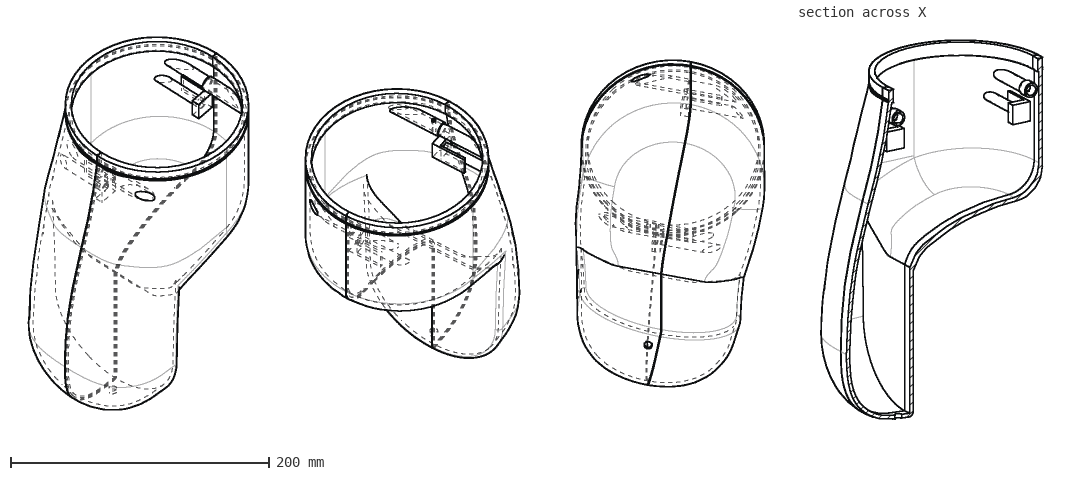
import cadquery as cq

collar_radius = 71.02
collar_height = 10.0
wall = 3.5
rim_bore_radius = 66.3
rim_bore_depth = 11.0
shadow_gap_top_z = -8.0
shadow_gap_height = 1.7
shadow_gap_depth = 0.2
seam_gap_width = 0.5
seam_gap_depth = wall / 2

waist_z = -90.0
toe_axis_z = -210.0
front_reach = 109.34
leg_back_y = -47.6
leg_top_z = -153.0
leg_back_fillet = 4.0
heel_fillet = 24.0
heel_z = -113.5
heel_start_y = collar_radius + 9.0
underside_points = [(30.0, -115.0), (0.0, -121.0), (-27.5, -132.0), (-42.0, -142.5)]
underside_end_slope = (-0.45, -1.0)

rod_z = -25.0
back_rod_y = 60.0
front_rod_y = -61.5
left_rod_diameter = 10.0
right_rod_diameter = 12.0
rod_bore_diameter = 8.0
lock_hole_diameter = 3.2
lock_hole_x = 7.5
drain_hole_diameter = 6.0

pin_diameter = 8.0
pin_z = -44.0
back_pin_y = 54.0
front_pin_y = -61.5
bracket_size = 16.0
plate_thickness = 6.4
rib_length = 23.2
rib_thickness = 2.0
pin_socket_depth = 3.0

far = 300.0

collar_station = (-collar_height, (61.5, -35.5), (50.2, -50.2), (27.2, -65.6), collar_radius)
waist_station = (waist_z, (68.3, -44.0), (61.5, -62.0), (38.5, -81.5), 89.5)
toe_station = (toe_axis_z, (63.2, -54.0), (61.1, -73.5), (44.5, -99.5), front_reach)
upper_stations = [
    collar_station,
    (-50.0, (65.4, -37.5), (56.0, -57.0), (33.0, -72.5), 78.3),
    waist_station,
]
lower_stations = [
    waist_station,
    (-120.0, (66.7, -48.0), (61.8, -67.0), (38.5, -90.5), 98.0),
    (-150.0, (64.8, -52.0), (61.7, -71.0), (39.5, -96.5), 104.7),
    (-180.0, (63.7, -54.0), (61.3, -73.0), (42.0, -99.5), 108.3),
    toe_station,
]
shoulder_inward = (-0.85, 0.5)
brow_inward = (-0.4, 0.9)


def moved(point, direction, distance):
    return (point[0] + direction[0] * distance, point[1] + direction[1] * distance)


def right_half_section(station, inset):
    """Closed wire of the +X half in front of y = 0 at one station."""
    z, flank, shoulder, brow, reach = station
    side_x = collar_radius - inset
    front_y = inset - reach
    skin_points = [
        (side_x, 0),
        moved(flank, (-1, 0), inset),
        moved(shoulder, shoulder_inward, inset),
        moved(brow, brow_inward, inset),
        (0, front_y),
    ]
    skin = cq.Edge.makeSpline(
        [cq.Vector(x, y, z) for x, y in skin_points],
        tangents=[cq.Vector(0, -1, 0), cq.Vector(-1, 0, 0)],
    )
    axis = cq.Vector(0, 0, z)
    to_side = cq.Edge.makeLine(axis, cq.Vector(side_x, 0, z))
    to_axis = cq.Edge.makeLine(cq.Vector(0, front_y, z), axis)
    return cq.Wire.assembleEdges([to_side, skin, to_axis])


def loft_stations(stations, inset):
    return cq.Workplane(cq.Solid.makeLoft([right_half_section(s, inset) for s in stations], False))


def underside_cut(inset):
    """Everything below the heel curve and behind the flat back of the leg."""
    back_y = leg_back_y - inset
    points = [(y - inset, z + inset) for y, z in underside_points]
    points.append((back_y, leg_top_z + inset))
    return (
        cq.Workplane("YZ")
        .moveTo(heel_start_y, heel_z + inset)
        .spline(points, tangents=[(-1, 0), underside_end_slope], includeCurrent=True)
        .lineTo(back_y, -far)
        .lineTo(heel_start_y, -far)
        .close()
        .extrude(far, both=True)
    )


def round_heel(body, inset):
    """Large fillet along the edge of the heel curve."""
    back_y = leg_back_y - inset
    reach = 2 * collar_radius
    heel_box = cq.selectors.BoxSelector(
        (1, back_y + 1, heel_z + 2 * inset), (reach, reach, leg_top_z)
    )
    return body.edges(heel_box).edges("not(#Z or |Z or |X)").fillet(heel_fillet)


def round_leg_back(body):
    """Small fillet down the outer edge of the flat back of the leg and toe."""
    reach = 2 * collar_radius
    leg_box = cq.selectors.BoxSelector(
        (1, leg_back_y - 0.1, leg_top_z - 5), (reach, leg_back_y + 0.1, -far)
    )
    leg_box = cq.selectors.BoxSelector(
        (1, leg_back_y - 0.1, leg_top_z - leg_back_fillet), (reach, leg_back_y + 0.1, -far)
    )
    return body.edges(leg_box).fillet(leg_back_fillet)


def right_half_body(inset):
    """Solid +X half of the foot, with its faces moved inwards by inset."""
    radius = collar_radius - inset
    right_back_quarter = cq.Workplane("XY").box(far, far, 2 * far).translate((far / 2, far / 2, 0))
    right_half = cq.Workplane("XY").box(far, 2 * far, 2 * far).translate((far / 2, 0, 0))
    barrel = cq.Workplane("XY").circle(radius).extrude(leg_top_z).intersect(right_back_quarter)
    collar = cq.Workplane("XY").circle(radius).extrude(-collar_height).intersect(right_half)
    toe_face = cq.Face.makeFromWires(right_half_section(toe_station, inset))
    toe = cq.Workplane(
        cq.Solid.revolve(toe_face, 90, cq.Vector(0, 0, toe_axis_z), cq.Vector(0, 1, toe_axis_z))
    )
    body = barrel.union(loft_stations(upper_stations, inset))
    body = body.union(loft_stations(lower_stations, inset)).union(collar).union(toe)
    return round_heel(body.cut(underside_cut(inset)), inset)


def mirrored(body):
    return body.mirror("YZ")


def rod_along_x(diameter, y, z, start_x, end_x):
    return (
        cq.Workplane("YZ").workplane(offset=start_x)
        .center(y, z).circle(diameter / 2).extrude(end_x - start_x)
    )


def upright_hole(diameter, y, top_z, bottom_z):
    return (
        cq.Workplane("XY").workplane(offset=bottom_z)
        .center(lock_hole_x, y).circle(diameter / 2).extrude(top_z - bottom_z)
    )


def block(x_range, y_range, z_range):
    corner = (x_range[0], y_range[0], z_range[0])
    size = [high - low for low, high in (x_range, y_range, z_range)]
    return cq.Workplane("XY").box(*size, centered=False).translate(corner)


outer_half = round_leg_back(right_half_body(0))
mid_wall_half = right_half_body(seam_gap_depth)
inner_half = right_half_body(wall)

rim_zone = cq.Workplane("XY").circle(collar_radius).extrude(-rim_bore_depth)
rim_bore = cq.Workplane("XY").circle(rim_bore_radius).extrude(-rim_bore_depth)
cavity_half = inner_half.cut(rim_zone)
shadow_gap = (
    cq.Workplane("XY").workplane(offset=shadow_gap_top_z)
    .circle(2 * collar_radius).circle(collar_radius - shadow_gap_depth)
    .extrude(-shadow_gap_height)
)
hollow_half = outer_half.cut(cavity_half).cut(rim_bore).cut(shadow_gap)


def bracket(pin_y):
    """Square plate across the seam with a rib on its +Y edge and a socket for the pin."""
    y_range = (pin_y - bracket_size / 2, pin_y + bracket_size / 2)
    z_range = (pin_z - bracket_size / 2, pin_z + bracket_size / 2)
    plate_x = plate_thickness / 2
    plate = block((-plate_x, plate_x), y_range, z_range)
    rib = block((-plate_x - rib_length, -plate_x), (y_range[1] - rib_thickness, y_range[1]), z_range)
    return plate.union(rib).cut(pin_rod(pin_y))


def pin_rod(pin_y):
    """Pin at full length, running out through the left wall."""
    return rod_along_x(pin_diameter, pin_y, pin_z, -far, pin_socket_depth - plate_thickness / 2)


def pin(pin_y):
    """Pin that ends against the inside of the left wall."""
    return pin_rod(pin_y).intersect(mirrored(inner_half))


pin_places = [back_pin_y, front_pin_y]
rod_places = [back_rod_y, front_rod_y]
brackets = [bracket(y) for y in pin_places]
pins = [pin(y) for y in pin_places]

right_shell = hollow_half
for y in rod_places:
    rod = rod_along_x(right_rod_diameter, y, rod_z, 0, far).intersect(mid_wall_half)
    right_shell = right_shell.union(rod)
for y in rod_places:
    right_shell = right_shell.cut(rod_along_x(rod_bore_diameter, y, rod_z, 0, far))
right_shell = right_shell.cut(upright_hole(lock_hole_diameter, front_rod_y, rod_z + right_rod_diameter,
                                           rod_z - right_rod_diameter))
right_shell = right_shell.cut(upright_hole(drain_hole_diameter, front_rod_y, toe_axis_z, -far))

outer_skin = mirrored(outer_half.cut(mid_wall_half))
seam_gap = outer_skin.intersect(block((-seam_gap_width, 0), (-far, far), (-far, 0)))
left_shell = mirrored(hollow_half).cut(seam_gap)
for y in rod_places:
    rod = rod_along_x(left_rod_diameter, y, rod_z, -far, 0).intersect(mirrored(mid_wall_half))
    left_shell = left_shell.union(rod)

result = cq.Compound.makeCompound(
    [right_shell.val(), left_shell.val()]
    + [hook.val() for hook in brackets]
    + [cross_pin.val() for cross_pin in pins]
)